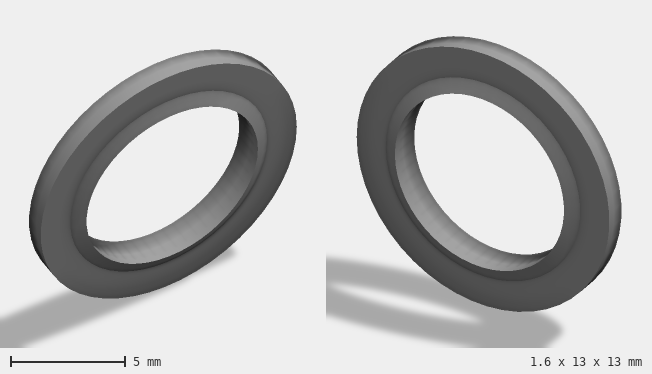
import cadquery as cq

outer_diameter = 13.0
bore_diameter = 8.7
lip_base_diameter = 10.0
flange_thickness = 1.0
overall_thickness = 1.6

outer_radius = outer_diameter / 2
bore_radius = bore_diameter / 2
lip_base_radius = lip_base_diameter / 2
flange_half = flange_thickness / 2
lip_half = overall_thickness / 2

section = (
    cq.Workplane("XY")
    .moveTo(-lip_half, bore_radius)
    .lineTo(-flange_half, lip_base_radius)
    .lineTo(-flange_half, outer_radius)
    .lineTo(flange_half, outer_radius)
    .lineTo(flange_half, lip_base_radius)
    .lineTo(lip_half, bore_radius)
    .close()
)

result = section.revolve(360, (0, 0, 0), (1, 0, 0))